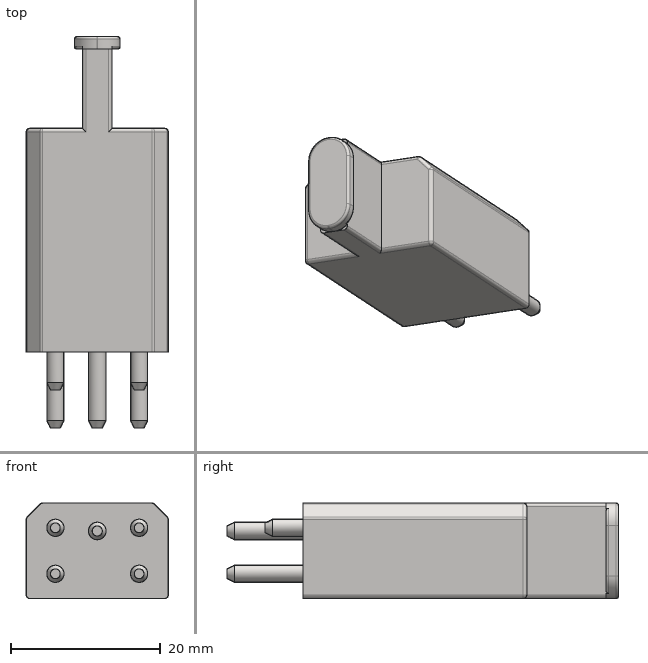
import cadquery as cq

body_width = 19.0
body_height = 12.8
body_length = 29.95
corner_chamfer = 2.0
edge_radius = 0.5

stem_width = 4.0
cap_width = 6.1
cap_corner_radius = 3.0
cap_thickness = 1.7
cap_edge_radius = 0.35
grip_length = 12.27

outer_pin_diameter = 2.3
middle_pin_diameter = 2.35
long_pin_length = 10.15
short_pin_length = 5.05
pin_embed_depth = 0.5
pin_tip_length = 1.0
pin_tip_inset = 0.5
pin_spacing_x = 11.2
pin_spacing_z = 6.15
middle_pin_z = 2.65

grip_end_y = body_length + grip_length
cap_front_y = grip_end_y - cap_thickness


def front_plane(y):
    """Plane at the given Y whose extrusions run toward +Y."""
    return cq.Workplane("XZ", origin=(0, y, 0))


def make_housing_and_stem():
    """Chamfered housing joined to the full-height stem, with rounded outer edges."""
    housing = front_plane(0).rect(body_width, body_height).extrude(-body_length)
    housing = housing.edges("|Y and >Z").chamfer(corner_chamfer)
    stem_start_y = body_length / 2
    stem = front_plane(stem_start_y).rect(stem_width, body_height).extrude(stem_start_y - cap_front_y)
    joined = housing.union(stem)

    inside_corners = cq.selectors.BoxSelector(
        (-stem_width, body_length - edge_radius, -body_height),
        (stem_width, body_length + edge_radius, body_height),
    )
    rounded = cq.selectors.StringSyntaxSelector("not(<Y or >Y)") - inside_corners
    return joined.edges(rounded).fillet(edge_radius)


def make_cap():
    """Round-cornered end cap with rounded rims, left full where the stem runs into it."""
    blank = front_plane(cap_front_y).rect(cap_width, body_height).extrude(-cap_thickness)
    blank = blank.edges("|Y").fillet(cap_corner_radius)
    rounded_cap = blank.faces("<Y or >Y").edges().fillet(cap_edge_radius)
    stem_root = front_plane(cap_front_y).rect(stem_width, body_height).extrude(-cap_thickness / 2)
    return rounded_cap.union(blank.intersect(stem_root))


def make_pin(x, z, diameter, length):
    """Round pin with a conical tip, revolved about its own axis toward -Y."""
    radius = diameter / 2
    half_profile = (
        cq.Workplane("XY", origin=(x, 0, z))
        .moveTo(0, pin_embed_depth)
        .lineTo(radius, pin_embed_depth)
        .lineTo(radius, pin_tip_length - length)
        .lineTo(radius - pin_tip_inset, -length)
        .lineTo(0, -length)
        .close()
    )
    return half_profile.revolve(360, (0, 0), (0, 1))


result = make_housing_and_stem().union(make_cap())

for side in (-1, 1):
    pin_x = side * pin_spacing_x / 2
    result = result.union(make_pin(pin_x, pin_spacing_z / 2, outer_pin_diameter, short_pin_length))
    result = result.union(make_pin(pin_x, -pin_spacing_z / 2, outer_pin_diameter, long_pin_length))

result = result.union(make_pin(0, middle_pin_z, middle_pin_diameter, long_pin_length))